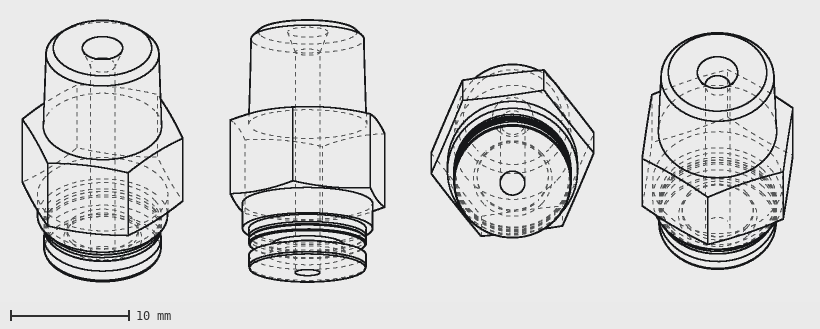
import cadquery as cq
import math

total_height = 20.95
hex_bottom = 6.03
hex_top = 12.95

hex_across_flats = 12.0
hex_across_corners = hex_across_flats / math.cos(math.radians(30))
hex_chamfer_angle = 15.0

shank_base_diameter = 9.99
shank_tip_diameter = 9.55
shank_face_diameter = 8.31
shank_chamfer_height = 0.6

collar_diameter = 11.0
collar_bottom = 3.83
ring_diameter = 9.9
ring_bottom = 2.45
ring_edge = 0.1
groove_center = 3.05
groove_half_width = 0.15
groove_depth = 0.17

neck_diameter = 6.0
neck_cone_top = 2.05
neck_cone_diameter = 6.62
button_diameter = 9.9
button_top = 1.53
button_edge_top = 0.59
button_edge_bottom = 0.4
button_edge_inset = 0.06
button_face_diameter = 5.03

bore_diameter = 2.1
mouth_diameter = 3.41
mouth_depth = 1.74


def revolve_profile(points):
    """Revolve (radius, height) points about the Z axis."""
    return cq.Workplane("XZ").polyline(points).close().revolve(360, (0, 0), (0, 1))


def make_hex_body():
    """Hexagon with corners on Y, trimmed by a shallow cone at both ends."""
    hexagon = (
        cq.Workplane("XY").workplane(offset=hex_bottom)
        .polygon(6, hex_across_corners)
        .extrude(hex_top - hex_bottom)
        .rotate((0, 0, 0), (0, 0, 1), 30)
    )
    face_radius = hex_across_flats / 2
    corner_radius = hex_across_corners / 2
    drop = (corner_radius - face_radius) * math.tan(math.radians(hex_chamfer_angle))
    envelope = revolve_profile([
        (0, hex_bottom),
        (face_radius, hex_bottom),
        (corner_radius, hex_bottom + drop),
        (corner_radius, hex_top - drop),
        (face_radius, hex_top),
        (0, hex_top),
    ])
    return hexagon.intersect(envelope)


def make_shank():
    """Tapered shank with a chamfered tip."""
    return revolve_profile([
        (0, hex_bottom),
        (shank_base_diameter / 2, hex_bottom),
        (shank_base_diameter / 2, hex_top),
        (shank_tip_diameter / 2, total_height - shank_chamfer_height),
        (shank_face_diameter / 2, total_height),
        (0, total_height),
    ])


def make_lower_end():
    """Collar, grooved retaining ring, neck and release button."""
    ring_radius = ring_diameter / 2
    neck_radius = neck_diameter / 2
    button_radius = button_diameter / 2
    return revolve_profile([
        (0, 0),
        (button_face_diameter / 2, 0),
        (button_radius - button_edge_inset, button_edge_bottom),
        (button_radius, button_edge_top),
        (button_radius, button_top),
        (neck_cone_diameter / 2, button_top),
        (neck_radius, neck_cone_top),
        (neck_radius, ring_bottom),
        (ring_radius - ring_edge, ring_bottom),
        (ring_radius, ring_bottom + ring_edge),
        (ring_radius, groove_center - groove_half_width),
        (ring_radius - groove_depth, groove_center),
        (ring_radius, groove_center + groove_half_width),
        (ring_radius, collar_bottom),
        (collar_diameter / 2, collar_bottom),
        (collar_diameter / 2, hex_bottom),
        (0, hex_bottom),
    ])


def make_bore():
    """Through bore, flared to a cone at the shank tip."""
    bore_radius = bore_diameter / 2
    return revolve_profile([
        (0, 0),
        (bore_radius, 0),
        (bore_radius, total_height - mouth_depth),
        (mouth_diameter / 2, total_height),
        (0, total_height),
    ])


result = make_hex_body().union(make_shank()).union(make_lower_end()).cut(make_bore())